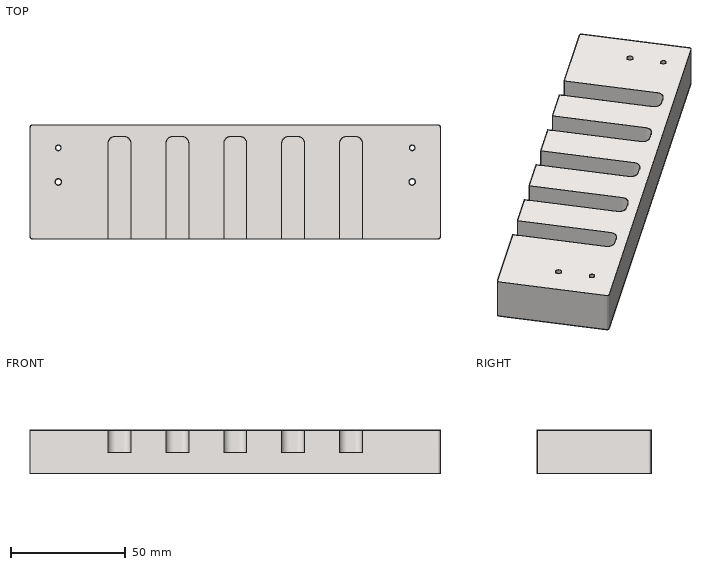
import cadquery as cq

length = 180.0
width = 50.0
height = 19.0
corner_radius = 1.0

slot_count = 5
slot_pitch = 25.4
slot_width = 10.0
slot_depth = 9.7
slot_corner_radius = 3.2
back_wall = 5.0

hole_offset_x = 77.5
center_hole_diameter = 2.7
rear_hole_diameter = 2.3
rear_hole_inset = 10.0
rear_hole_y = width / 2 - rear_hole_inset


def make_block():
    """Plain block with rounded vertical edges, resting on Z = 0."""
    block = cq.Workplane("XY").box(length, width, height, centered=(True, True, False))
    return block.edges("|Z").fillet(corner_radius)


def make_slot(x):
    """Cutter for one slot, with rounded corners at its closed rear end."""
    slot_length = width - back_wall
    cutter = (
        cq.Workplane("XY", origin=(x, -width / 2, height - slot_depth))
        .box(slot_width, slot_length, slot_depth, centered=(True, False, False))
    )
    return cutter.edges("|Z and >Y").fillet(slot_corner_radius)


def make_hole_pair(y, diameter):
    """Cutter for one through hole at each end of the block."""
    return (
        cq.Workplane("XY")
        .pushPoints([(-hole_offset_x, y), (hole_offset_x, y)])
        .circle(diameter / 2)
        .extrude(height)
    )


result = make_block()

for index in range(slot_count):
    slot_x = (index - (slot_count - 1) / 2) * slot_pitch
    result = result.cut(make_slot(slot_x))

result = result.cut(make_hole_pair(0, center_hole_diameter))
result = result.cut(make_hole_pair(rear_hole_y, rear_hole_diameter))